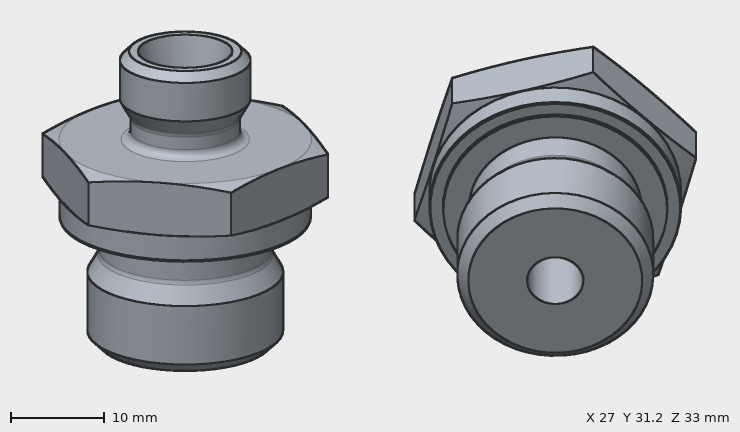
import cadquery as cq
import math

total_height = 33.0
hex_sides = 6
hex_width = 27.0
hex_bottom = 16.95
hex_top = 22.97
hex_chamfer_angle = 15.0

upper_thread_radius = 14.0 / 2
upper_neck_radius = 11.7 / 2
upper_thread_bottom = 27.62
upper_chamfer = 1.0

lower_thread_radius = 20.95 / 2
lower_neck_radius = 18.4 / 2
lower_thread_top = 7.85
lower_chamfer = 1.2

runout_angle = 30.0
neck_fillet = 1.0

collar_radius = 26.9 / 2
collar_bottom = 14.0
collar_chamfer_height = 0.2
collar_chamfer_width = 0.1

groove_radius = 24.0 / 2
groove_depth = 1.65
groove_top = collar_bottom + groove_depth
seal_outer_radius = 23.9 / 2
seal_inner_radius = 18.5 / 2
seal_protrusion = 0.33

bore_radius = 6.0 / 2
socket_radius = 8.0 / 2
mouth_radius = 10.05 / 2
mouth_half_angle = 12.0
socket_depth = 7.0


def cone_height(large_radius, small_radius, half_angle):
    """Axial length of a cone between two radii."""
    return (large_radius - small_radius) / math.tan(math.radians(half_angle))


def revolve_profile(points):
    """Turn a closed (radius, height) outline about the Z axis."""
    return cq.Workplane("XZ").polyline(points).close().revolve(360, (0, 0), (0, 1))


def make_ring(outer_radius, inner_radius, bottom, top):
    """Flat ring between two heights."""
    return (
        cq.Workplane("XY")
        .workplane(offset=bottom)
        .circle(outer_radius)
        .circle(inner_radius)
        .extrude(top - bottom)
    )


upper_runout_end = upper_thread_bottom - cone_height(upper_thread_radius, upper_neck_radius, runout_angle)
lower_runout_end = lower_thread_top + cone_height(lower_thread_radius, lower_neck_radius, runout_angle)


def make_turned_body():
    """Both threaded ends, their necks and the sealing collar."""
    return revolve_profile([
        (0, 0),
        (lower_thread_radius - lower_chamfer, 0),
        (lower_thread_radius, lower_chamfer),
        (lower_thread_radius, lower_thread_top),
        (lower_neck_radius, lower_runout_end),
        (lower_neck_radius, collar_bottom),
        (collar_radius - collar_chamfer_width, collar_bottom),
        (collar_radius, collar_bottom + collar_chamfer_height),
        (collar_radius, hex_top),
        (upper_neck_radius, hex_top),
        (upper_neck_radius, upper_runout_end),
        (upper_thread_radius, upper_thread_bottom),
        (upper_thread_radius, total_height - upper_chamfer),
        (upper_thread_radius - upper_chamfer, total_height),
        (0, total_height),
    ])


def make_hexagon():
    """Hexagon with corners on Y, its corners chamfered at both faces."""
    corner_radius = hex_width / math.sqrt(3)
    flat_radius = hex_width / 2
    chamfer_drop = (corner_radius - flat_radius) * math.tan(math.radians(hex_chamfer_angle))
    prism = (
        cq.Workplane("XY")
        .workplane(offset=hex_bottom)
        .polygon(hex_sides, 2 * corner_radius)
        .extrude(hex_top - hex_bottom)
        .rotate((0, 0, 0), (0, 0, 1), 180 / hex_sides)
    )
    chamfer_envelope = revolve_profile([
        (0, hex_bottom),
        (flat_radius, hex_bottom),
        (corner_radius, hex_bottom + chamfer_drop),
        (corner_radius, hex_top - chamfer_drop),
        (flat_radius, hex_top),
        (0, hex_top),
    ])
    return prism.intersect(chamfer_envelope)


def fillet_neck_corner(body, neck_radius, height):
    """Round the circular inside corner of a neck at the given height."""
    margin = 0.03
    reach = neck_radius + margin
    corner = cq.selectors.BoxSelector(
        (-reach, -reach, height - margin),
        (reach, reach, height + margin),
        boundingbox=True,
    )
    return body.edges(corner).fillet(neck_fillet)


def make_bore():
    """Through bore, tube socket and conical mouth as one cutter."""
    cone_bottom = total_height - cone_height(mouth_radius, socket_radius, mouth_half_angle)
    socket_floor = total_height - socket_depth
    return revolve_profile([
        (0, 0),
        (bore_radius, 0),
        (bore_radius, socket_floor),
        (socket_radius, socket_floor),
        (socket_radius, cone_bottom),
        (mouth_radius, total_height),
        (0, total_height),
    ])


def make_fitting():
    """Hexagon fitting with threaded ends, seal groove and bore."""
    body = make_turned_body().union(make_hexagon())
    body = fillet_neck_corner(body, upper_neck_radius, hex_top)
    body = fillet_neck_corner(body, upper_neck_radius, upper_runout_end)
    body = fillet_neck_corner(body, lower_neck_radius, lower_runout_end)
    groove = make_ring(groove_radius, lower_neck_radius, collar_bottom, groove_top)
    return body.cut(groove).cut(make_bore())


def make_seal_ring():
    """Seal seated on the groove floor and standing proud of the collar."""
    return make_ring(seal_outer_radius, seal_inner_radius, collar_bottom - seal_protrusion, groove_top)


fitting = make_fitting()
seal_ring = make_seal_ring()

result = cq.Compound.makeCompound([fitting.solids().val(), seal_ring.val()])